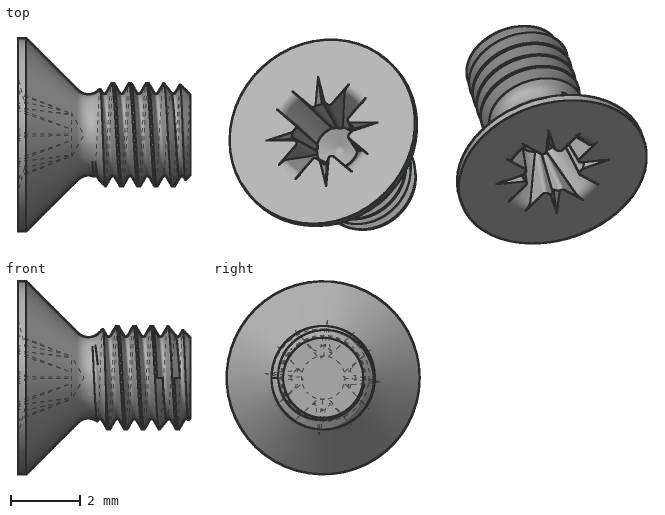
import cadquery as cq
import math

SCREW_LENGTH = 5.0
HEAD_RADIUS = 2.8
HEAD_RIM = 0.24

NECK_EDGE_RADIUS = 1.31
NECK_START = HEAD_RIM + HEAD_RADIUS - NECK_EDGE_RADIUS
NECK_LENGTH = 0.625
NECK_END = NECK_START + NECK_LENGTH
NECK_MIDDLE = (NECK_START + NECK_END) / 2
NECK_ARC_RADIUS = NECK_LENGTH / 2 / math.sin(math.radians(45))
NECK_RADIUS = NECK_EDGE_RADIUS - NECK_ARC_RADIUS * (1 - math.cos(math.radians(45)))

THREAD_RADIUS = 1.5
PITCH = 0.5
FLANK_ANGLE = math.radians(30)
THREAD_DEPTH = 0.61343 * PITCH
ROOT_RADIUS = THREAD_RADIUS - THREAD_DEPTH
ROOT_ROUNDING = math.sqrt(3) / 12 * PITCH
ROOT_HALF_WIDTH = ROOT_ROUNDING * math.cos(FLANK_ANGLE)
FLANK_INNER_RADIUS = ROOT_RADIUS + ROOT_ROUNDING * (1 - math.sin(FLANK_ANGLE))
CUT_CLEARANCE = 0.02
GROOVE_OUTER_RADIUS = THREAD_RADIUS + CUT_CLEARANCE
GROOVE_OUTER_HALF_WIDTH = (
    ROOT_HALF_WIDTH + (GROOVE_OUTER_RADIUS - FLANK_INNER_RADIUS) * math.tan(FLANK_ANGLE)
)
CREST_WIDTH = PITCH / 8
SHARP_CREST_TURNS = 4.5
THREAD_START = NECK_START + 0.27
TIP_RADIUS = 1.16

WING_ANGLE = 46.9
WING_HALF_WIDTH = 0.344
WING_DRAFT = math.radians(1.7)
MOUTH_RADIUS = 1.588
MOUTH_ROUNDING = 0.3
RECESS_WALL_ANGLE = math.radians(26.5)
MOUTH_TURN = math.radians(90) - RECESS_WALL_ANGLE
WALL_TOP_RADIUS = MOUTH_RADIUS - MOUTH_ROUNDING * math.sin(MOUTH_TURN)
WALL_TOP_DEPTH = MOUTH_ROUNDING * (1 - math.cos(MOUTH_TURN))
FLOOR_RADIUS = 0.63
FLOOR_HALF_ANGLE = math.radians(60)
FLOOR_DEPTH = WALL_TOP_DEPTH + (WALL_TOP_RADIUS - FLOOR_RADIUS) / math.tan(RECESS_WALL_ANGLE)
FLOOR_TIP_DEPTH = FLOOR_DEPTH + FLOOR_RADIUS / math.tan(FLOOR_HALF_ANGLE)
CORE_TOP_HALF_SIDE = 0.70
CORE_TAPER = math.radians(9)
CORE_ROUNDING = 0.1
SPIKE_ANGLE = 4.15
SPIKE_TIP_RADIUS = 1.68
SPIKE_HALF_ANGLE = math.radians(9.5)
SPIKE_SLOPE = math.radians(14.6)
SPIKE_INNER_RADIUS = 0.75
QUARTER_TURNS = (0, 90, 180, 270)
EDGE_TOLERANCE = 0.01


def turn_about_axis(shape, angle):
    """Turn a shape about the screw axis; positive is counter-clockwise seen from the head."""
    return shape.rotate((0, 0, 0), (1, 0, 0), -angle)


def make_blank():
    """Head, neck and unthreaded shank, revolved about X."""
    return (
        cq.Workplane("XY")
        .moveTo(0, 0)
        .lineTo(0, HEAD_RADIUS)
        .lineTo(HEAD_RIM, HEAD_RADIUS)
        .lineTo(NECK_START, NECK_EDGE_RADIUS)
        .threePointArc((NECK_MIDDLE, NECK_RADIUS), (NECK_END, NECK_EDGE_RADIUS))
        .lineTo(NECK_END + THREAD_RADIUS - NECK_EDGE_RADIUS, THREAD_RADIUS)
        .lineTo(SCREW_LENGTH - THREAD_RADIUS + TIP_RADIUS, THREAD_RADIUS)
        .lineTo(SCREW_LENGTH, TIP_RADIUS)
        .lineTo(SCREW_LENGTH, 0)
        .close()
        .revolve(360, (0, 0, 0), (1, 0, 0))
    )


def sweep_along_thread(section, start, length, start_angle):
    """Sweep an (r, x) section along the right-handed thread, from start_angle past +Y towards +Z."""
    helix = cq.Wire.makeHelix(PITCH, length, ROOT_RADIUS)
    swept = section.sweep(cq.Workplane(helix), isFrenet=True).val()
    along_screw = cq.Location(cq.Plane((start, 0, 0), xDir=(0, 1, 0), normal=(1, 0, 0)))
    return cq.Workplane(swept.moved(along_screw)).rotate((0, 0, 0), (1, 0, 0), start_angle)


def make_thread_groove():
    """Groove that starts at +Y in the neck and runs out past the tip."""
    section = (
        cq.Workplane("XZ")
        .moveTo(GROOVE_OUTER_RADIUS, -GROOVE_OUTER_HALF_WIDTH)
        .lineTo(FLANK_INNER_RADIUS, -ROOT_HALF_WIDTH)
        .threePointArc((ROOT_RADIUS, 0), (FLANK_INNER_RADIUS, ROOT_HALF_WIDTH))
        .lineTo(GROOVE_OUTER_RADIUS, GROOVE_OUTER_HALF_WIDTH)
        .close()
    )
    return sweep_along_thread(section, THREAD_START, SCREW_LENGTH + PITCH - THREAD_START, 0)


def make_sharp_crest_cut():
    """One turn, starting at -Y, where the head-side flank leans back and leaves a sharp crest."""
    lean = CREST_WIDTH * (GROOVE_OUTER_RADIUS - FLANK_INNER_RADIUS) / (THREAD_RADIUS - FLANK_INNER_RADIUS)
    section = (
        cq.Workplane("XZ")
        .moveTo(FLANK_INNER_RADIUS, -ROOT_HALF_WIDTH)
        .lineTo(GROOVE_OUTER_RADIUS, -GROOVE_OUTER_HALF_WIDTH - lean)
        .lineTo(GROOVE_OUTER_RADIUS, 0)
        .close()
    )
    return sweep_along_thread(section, THREAD_START + SHARP_CREST_TURNS * PITCH, PITCH, 180)


def make_recess_envelope():
    """Round outline of the wings: rounded mouth, steep conical wall and flat end."""
    half_turn = MOUTH_TURN / 2
    mouth_middle_depth = MOUTH_ROUNDING * (1 - math.cos(half_turn))
    mouth_middle_radius = MOUTH_RADIUS - MOUTH_ROUNDING * math.sin(half_turn)
    return (
        cq.Workplane("XY")
        .moveTo(0, 0)
        .lineTo(0, MOUTH_RADIUS)
        .threePointArc((mouth_middle_depth, mouth_middle_radius), (WALL_TOP_DEPTH, WALL_TOP_RADIUS))
        .lineTo(FLOOR_DEPTH, FLOOR_RADIUS)
        .lineTo(FLOOR_DEPTH, 0)
        .close()
        .revolve(360, (0, 0, 0), (1, 0, 0))
    )


def make_wing():
    """Slot from the axis towards +Z; its counter-clockwise side leans in with depth."""
    lean = FLOOR_DEPTH * math.tan(WING_DRAFT)
    return (
        cq.Workplane("XY")
        .moveTo(0, -WING_HALF_WIDTH)
        .lineTo(0, WING_HALF_WIDTH)
        .lineTo(FLOOR_DEPTH, WING_HALF_WIDTH - lean)
        .lineTo(FLOOR_DEPTH, -WING_HALF_WIDTH)
        .close()
        .extrude(MOUTH_RADIUS + CUT_CLEARANCE)
    )


def make_core():
    """Square taper whose sides face the wings."""
    top_side = 2 * CORE_TOP_HALF_SIDE
    floor_side = top_side - 2 * FLOOR_DEPTH * math.tan(CORE_TAPER)
    return (
        cq.Workplane("YZ")
        .rect(top_side, top_side)
        .workplane(offset=FLOOR_DEPTH)
        .rect(floor_side, floor_side)
        .loft(ruled=True)
    )


def make_spike():
    """Shallow V notch towards +Z that deepens from its tip to the core."""
    run = SPIKE_TIP_RADIUS - SPIKE_INNER_RADIUS
    half_width = run * math.tan(SPIKE_HALF_ANGLE)
    depth = run * math.tan(SPIKE_SLOPE)
    corners = [
        (0, -half_width, SPIKE_INNER_RADIUS),
        (0, half_width, SPIKE_INNER_RADIUS),
        (depth, 0, SPIKE_INNER_RADIUS),
        (0, 0, SPIKE_TIP_RADIUS),
    ]
    points = [cq.Vector(*corner) for corner in corners]
    triangles = ((0, 1, 2), (0, 1, 3), (1, 2, 3), (2, 0, 3))
    faces = [
        cq.Face.makeFromWires(cq.Wire.makePolygon([points[i] for i in triangle], close=True))
        for triangle in triangles
    ]
    return cq.Workplane(cq.Solid.makeSolid(cq.Shell.makeShell(faces)))


def make_floor_cone():
    """Conical floor below the wings and the core."""
    return cq.Workplane(
        cq.Solid.makeCone(
            FLOOR_RADIUS, 0, FLOOR_TIP_DEPTH - FLOOR_DEPTH, pnt=(FLOOR_DEPTH, 0, 0), dir=(1, 0, 0)
        )
    )


class InnerCornerSelector(cq.Selector):
    """Picks the edges where the wing sides meet the core sides."""

    def filter(self, edges):
        corner_radius = math.hypot(WING_HALF_WIDTH, CORE_TOP_HALF_SIDE)
        picked = []
        for edge in edges:
            center = edge.Center()
            from_axis = math.hypot(center.y, center.z)
            if abs(center.x - FLOOR_DEPTH / 2) < EDGE_TOLERANCE and from_axis < corner_radius:
                picked.append(edge)
        return picked


def make_recess():
    """Complete recess, turned to its place about the axis."""
    body = make_core()
    for quarter in QUARTER_TURNS:
        body = body.union(turn_about_axis(make_wing(), quarter))
    body = body.edges(InnerCornerSelector()).fillet(CORE_ROUNDING)
    recess = body.intersect(make_recess_envelope()).union(make_floor_cone())
    recess = turn_about_axis(recess, WING_ANGLE - 90)
    for quarter in QUARTER_TURNS:
        recess = recess.union(turn_about_axis(make_spike(), SPIKE_ANGLE + quarter))
    return recess


result = (
    make_blank()
    .cut(make_sharp_crest_cut())
    .cut(make_thread_groove())
    .cut(make_recess())
)